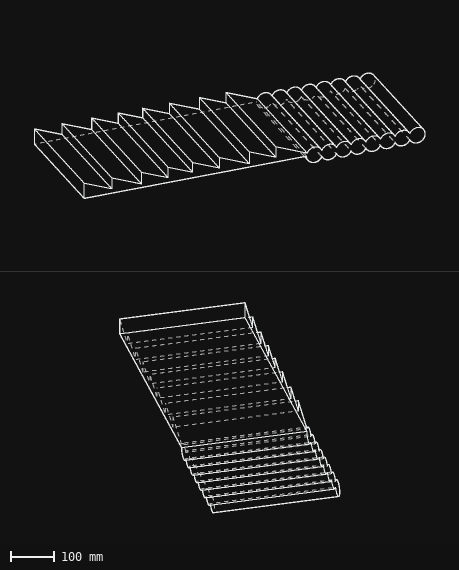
import cadquery as cq
import math

WIDTH = 300.0
LENGTH = 855.0
HEIGHT = 60.0

ROLLER_COUNT = 8
ROLLER_RADIUS = 20.1
ROLLER_PITCH = 37.0

WEDGE_HEIGHT = HEIGHT - ROLLER_RADIUS
WEDGE_ANGLE = 22.0
WEDGE_LENGTH = WEDGE_HEIGHT / math.tan(math.radians(WEDGE_ANGLE))
WEDGE_STEPS = [69.0, 74.0, 67.0, 62.0, 67.0, 75.0, 67.0]

FRONT_Y = -LENGTH / 2
LAST_ROLLER_Y = LENGTH / 2 - ROLLER_RADIUS


def make_roller(center_y):
    """Cylinder along X, centred on Z = 0."""
    return (
        cq.Workplane("YZ")
        .center(center_y, 0)
        .circle(ROLLER_RADIUS)
        .extrude(WIDTH / 2, both=True)
    )


def make_wedge(face_y):
    """Wedge whose upright face is at face_y and which tapers toward +Y."""
    return (
        cq.Workplane("YZ")
        .moveTo(face_y, 0)
        .lineTo(face_y, WEDGE_HEIGHT)
        .lineTo(face_y + WEDGE_LENGTH, 0)
        .close()
        .extrude(WIDTH / 2, both=True)
    )


face_y = FRONT_Y
result = make_wedge(face_y)
for step in WEDGE_STEPS:
    face_y += step
    result = result.union(make_wedge(face_y))

for index in reversed(range(ROLLER_COUNT)):
    result = result.union(make_roller(LAST_ROLLER_Y - index * ROLLER_PITCH))